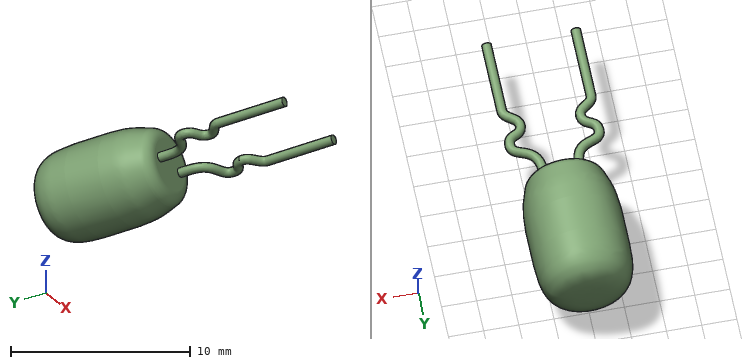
import cadquery as cq
import math

body_diameter = 5.5
body_radius = body_diameter / 2
body_length = 8.05
base_flat_radius = 1.55
base_round_radius = 0.78
base_round_height = 0.52
band_start = 3.02
band_end = 5.21
dome_crown_handle = 1.88

overall_length = 17.26
wire_radius = 0.28
wire_embed = 0.35
root_x = 1.04
pin_x = 2.54
crimp_x = 1.71
root_end_y = -0.55
shoulder_y = -2.54
crimp_y = -3.66
pin_start_y = -4.83
pin_end_y = body_length - overall_length
crimp_tilt = math.radians(6)

root_handle = 1.78
shoulder_upper_handle = 0.9
shoulder_lower_handle = 0.76
crimp_upper_handle = 0.69
crimp_lower_handle = 0.59
pin_handle = 0.54


def make_body():
    """Revolve the half profile: flat base, rounded corner, bulged side, band and dome."""
    round_centre_y = base_round_radius
    drop = round_centre_y - base_round_height
    junction_radius = base_flat_radius + math.sqrt(base_round_radius**2 - drop**2)
    mid_angle = (math.pi / 2 - math.asin(drop / base_round_radius)) / 2
    round_mid = (
        base_flat_radius + base_round_radius * math.sin(mid_angle),
        round_centre_y - base_round_radius * math.cos(mid_angle),
    )
    dome = [
        (body_radius, band_end),
        (body_radius, body_length),
        (dome_crown_handle, body_length),
        (0, body_length),
    ]

    side_height = band_start - base_round_height
    side_inset = body_radius - junction_radius
    side_radius = (side_height**2 + side_inset**2) / (2 * side_inset)
    half_angle = math.asin(side_height / side_radius) / 2
    side_mid = (
        body_radius - side_radius * (1 - math.cos(half_angle)),
        band_start - side_radius * math.sin(half_angle),
    )
    profile = (
        cq.Workplane("XY")
        .moveTo(0, 0)
        .lineTo(base_flat_radius, 0)
        .threePointArc(round_mid, (junction_radius, base_round_height))
        .threePointArc(side_mid, (body_radius, band_start))
        .lineTo(body_radius, band_end)
        .bezier(dome)
        .close()
    )
    return profile.revolve(360, (0, 0, 0), (0, 1, 0))


def make_lead():
    """Sweep the round wire along its bends on the +X side."""
    lean_x = math.sin(crimp_tilt)
    lean_y = math.cos(crimp_tilt)
    root_to_shoulder = [
        (root_x, root_end_y),
        (root_x, root_end_y - root_handle),
        (pin_x, shoulder_y + shoulder_upper_handle),
        (pin_x, shoulder_y),
    ]
    shoulder_to_crimp = [
        (pin_x, shoulder_y),
        (pin_x, shoulder_y - shoulder_lower_handle),
        (crimp_x + crimp_upper_handle * lean_x, crimp_y + crimp_upper_handle * lean_y),
        (crimp_x, crimp_y),
    ]
    crimp_to_pin = [
        (crimp_x, crimp_y),
        (crimp_x - crimp_lower_handle * lean_x, crimp_y - crimp_lower_handle * lean_y),
        (pin_x, pin_start_y + pin_handle),
        (pin_x, pin_start_y),
    ]
    path = (
        cq.Workplane("XY")
        .moveTo(root_x, wire_embed)
        .lineTo(root_x, root_end_y)
        .bezier(root_to_shoulder)
        .bezier(shoulder_to_crimp)
        .bezier(crimp_to_pin)
        .lineTo(pin_x, pin_end_y)
    )
    section = cq.Workplane("XZ", origin=(root_x, wire_embed, 0)).circle(wire_radius)
    return section.sweep(path)


right_lead = make_lead()
left_lead = right_lead.mirror("YZ")
result = make_body().union(right_lead).union(left_lead)